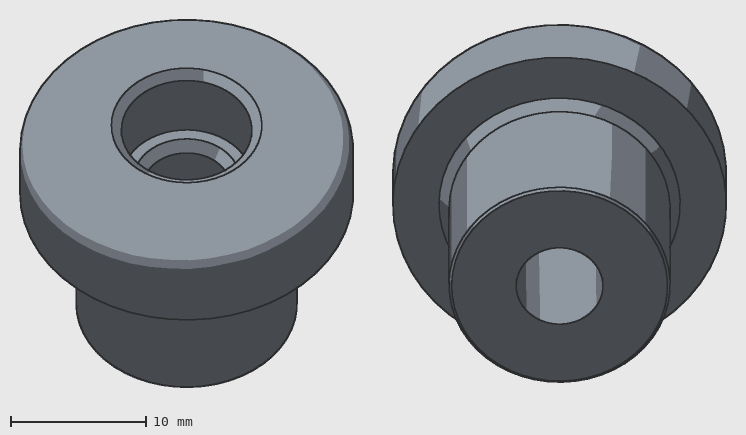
import cadquery as cq
import math

total_height = 20.45
head_diameter = 24.65
shank_diameter = 16.35
shank_length = 12.75

crown_angle = math.radians(15)
rim_diameter = 11.12
edge_radius = 1.5

counterbore_diameter = 9.65
counterbore_depth = 6.16
hole_diameter = 6.4

bevel = 0.75
counterbore_bevel_depth = 0.55
foot_bevel = 0.2

head_radius = head_diameter / 2
shank_radius = shank_diameter / 2
rim_radius = rim_diameter / 2

arc_center_r = head_radius - edge_radius
cone_end_r = arc_center_r + edge_radius * math.sin(crown_angle)
cone_end_z = total_height - (cone_end_r - rim_radius) * math.tan(crown_angle)
arc_center_z = cone_end_z - edge_radius * math.cos(crown_angle)
arc_mid_angle = (math.pi / 2 - crown_angle) / 2
arc_mid = (
    arc_center_r + edge_radius * math.cos(arc_mid_angle),
    arc_center_z + edge_radius * math.sin(arc_mid_angle),
)


def revolve_profile(profile):
    """Turn a closed (radius, height) profile around the Z axis."""
    return profile.close().revolve(360, (0, 0, 0), (0, 1, 0))


def make_body():
    """Shank, collar and crowned head, without the bore."""
    profile = (
        cq.Workplane("XZ")
        .lineTo(shank_radius - foot_bevel, 0)
        .lineTo(shank_radius, foot_bevel)
        .lineTo(shank_radius, shank_length - bevel)
        .lineTo(shank_radius + bevel, shank_length)
        .lineTo(head_radius, shank_length)
        .lineTo(head_radius, arc_center_z)
        .threePointArc(arc_mid, (cone_end_r, cone_end_z))
        .lineTo(rim_radius, total_height)
        .lineTo(0, total_height)
    )
    return revolve_profile(profile)


def make_bore():
    """Through hole and counterbore, each with a bevelled mouth."""
    hole_radius = hole_diameter / 2
    counterbore_radius = counterbore_diameter / 2
    floor_z = total_height - counterbore_depth
    profile = (
        cq.Workplane("XZ")
        .lineTo(hole_radius, 0)
        .lineTo(hole_radius, floor_z - bevel)
        .lineTo(hole_radius + bevel, floor_z)
        .lineTo(counterbore_radius, floor_z)
        .lineTo(counterbore_radius, total_height - counterbore_bevel_depth)
        .lineTo(rim_radius, total_height)
        .lineTo(0, total_height)
    )
    return revolve_profile(profile)


result = make_body().cut(make_bore())